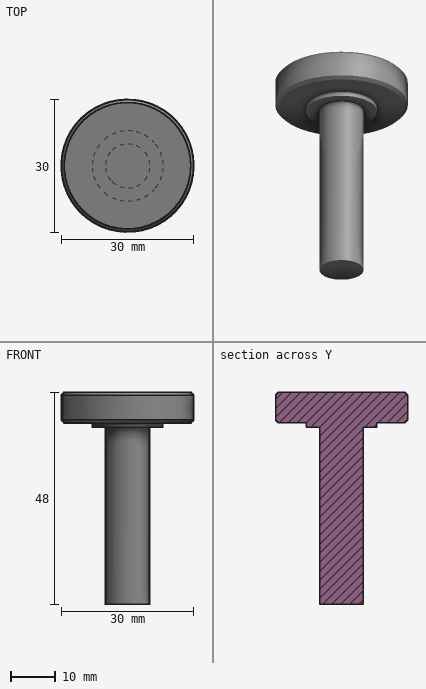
import cadquery as cq

head_diameter = 30.0
head_height = 7.0
head_chamfer = 0.7
collar_diameter = 16.0
collar_height = 1.0
shank_diameter = 10.0
shank_length = 40.0

collar_base_z = shank_length
head_base_z = collar_base_z + collar_height


def cylinder(diameter, height, base_z):
    """Solid cylinder on the Z axis, standing on base_z."""
    return cq.Workplane("XY").workplane(offset=base_z).circle(diameter / 2).extrude(height)


def make_head():
    """Disc head with both rims chamfered."""
    disc = cylinder(head_diameter, head_height, head_base_z)
    return disc.faces("<Z or >Z").edges().chamfer(head_chamfer)


shank = cylinder(shank_diameter, shank_length, 0)
collar = cylinder(collar_diameter, collar_height, collar_base_z)

result = shank.union(collar).union(make_head())